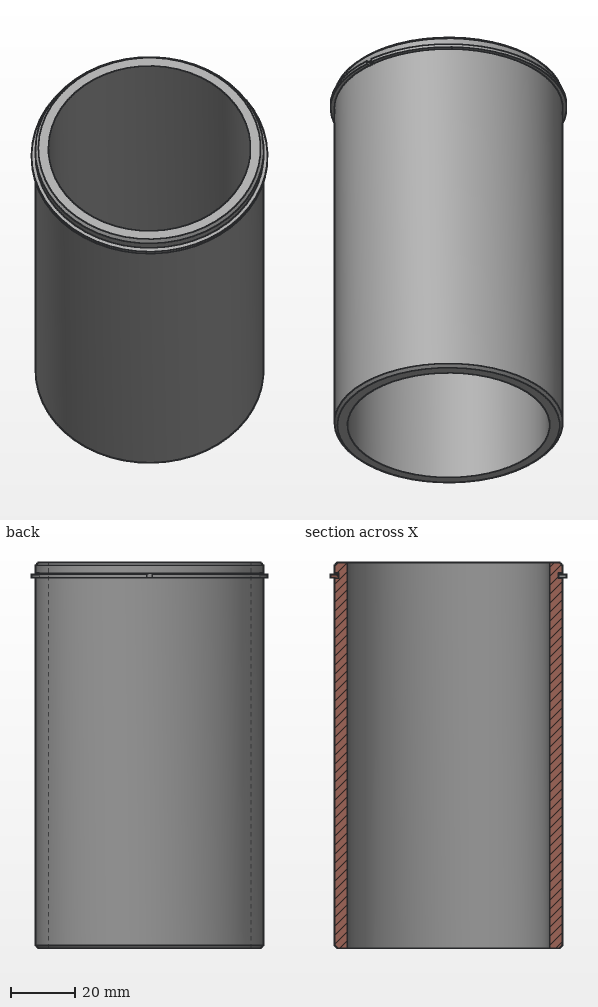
import cadquery as cq

sleeve_length = 120.0
sleeve_radius = 35.5
bore_radius = 31.5
end_chamfer = 1.0

ring_radius = 36.7
ring_thickness = 1.1
ring_gap_width = 1.8
groove_depth = 1.2
groove_top_clearance = 0.4
groove_top_from_end = 3.4

groove_floor_radius = sleeve_radius - groove_depth
groove_top = sleeve_length - groove_top_from_end
ring_bottom = groove_top - groove_top_clearance - ring_thickness


def annulus(outer_radius, inner_radius, bottom, height):
    """Flat-ended ring around the Z axis."""
    return (
        cq.Workplane("XY", origin=(0, 0, bottom))
        .circle(outer_radius)
        .circle(inner_radius)
        .extrude(height)
    )


def make_sleeve():
    """Tube with chamfered outer ends and a groove near its top."""
    tube = (
        cq.Workplane("XY")
        .circle(sleeve_radius)
        .extrude(sleeve_length)
        .faces("<Z or >Z")
        .chamfer(end_chamfer)
    )
    bore = cq.Workplane("XY").circle(bore_radius).extrude(sleeve_length)
    groove = annulus(ring_radius, groove_floor_radius, ring_bottom, groove_top - ring_bottom)
    return tube.cut(bore).cut(groove)


def make_snap_ring():
    """Ring resting on the lower groove wall, split on its +Y side."""
    ring = annulus(ring_radius, groove_floor_radius, ring_bottom, ring_thickness)
    gap = (
        cq.Workplane("XY", origin=(0, 0, ring_bottom))
        .rect(ring_gap_width, 2 * ring_radius)
        .extrude(ring_thickness)
        .translate((0, ring_radius, 0))
    )
    return ring.cut(gap)


sleeve = make_sleeve()
snap_ring = make_snap_ring()

result = cq.Compound.makeCompound([sleeve.val(), snap_ring.val()])